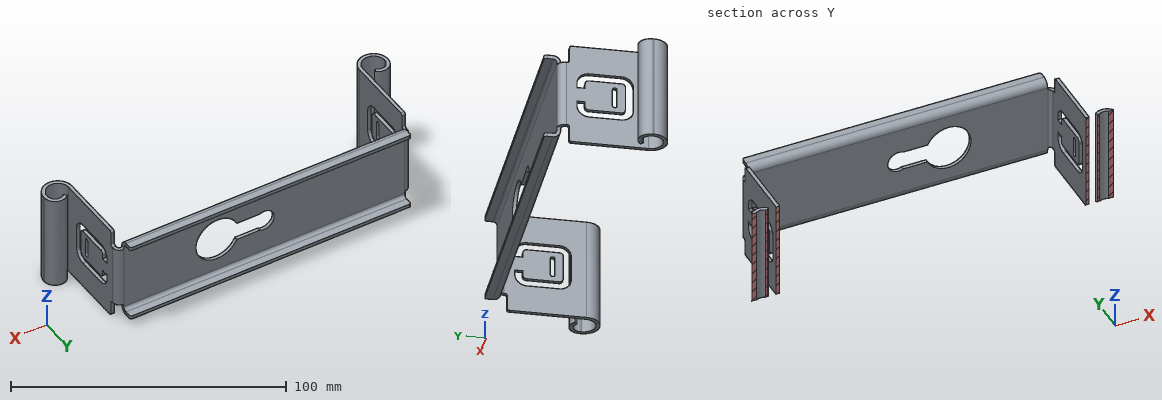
import cadquery as cq
import math

LENGTH = 147.0
DEPTH = 44.0
HEIGHT = 40.0

SHEET = 1.5
BEND_INNER = 1.5
BEND_OUTER = BEND_INNER + SHEET
CORNER_RADIUS = 0.9

FLANGE_DEPTH = 6.0
FLANGE_SPAN = 34.1
NECK_HEIGHT = 26.2
PLATE_FRONT = DEPTH - FLANGE_DEPTH
PLATE_BACK = PLATE_FRONT + SHEET

CURL_RADIUS = 6.0
CURL_FLAT = 0.5
CURL_TIP_RADIUS = 4.5
CURL_TIP_ANGLE = 43.0

LEFT = -LENGTH / 2
WALL_INNER = LEFT + 2 * CURL_RADIUS
WALL_OUTER = WALL_INNER - SHEET
PLATE_END = WALL_OUTER + BEND_OUTER
WALL_BACK = 35.3

WINDOW_FRONT = 11.6
WINDOW_LENGTH = 20.9
WINDOW_HEIGHT = 18.1
WINDOW_RADIUS = 4.4
GAP = 3.0
BRIDGE_HEIGHT = 5.7
SLIT_Y = 18.5
SLIT_LENGTH = 8.2
SLIT_WIDTH = 1.8

KEYHOLE_SMALL_X = 0.0
KEYHOLE_SMALL_RADIUS = 4.3
KEYHOLE_BIG_X = 20.0
KEYHOLE_BIG_RADIUS = 9.1
KEYHOLE_SLOT_HEIGHT = 7.6


def polar(center, radius, degrees):
    """Point on a circle, at an angle measured from +X."""
    angle = math.radians(degrees)
    return (center[0] + radius * math.cos(angle), center[1] + radius * math.sin(angle))


def make_plate():
    """Back plate with a flange bent backwards along its upper and lower edges."""
    plate_length = -2 * PLATE_END
    channel = (
        cq.Workplane("XY")
        .box(plate_length, FLANGE_DEPTH, FLANGE_SPAN)
        .translate((0, PLATE_FRONT + FLANGE_DEPTH / 2, 0))
        .edges("|X and <Y").fillet(BEND_OUTER)
    )
    hollow = (
        cq.Workplane("XY")
        .box(plate_length, FLANGE_DEPTH, FLANGE_SPAN - 2 * SHEET)
        .translate((0, PLATE_BACK + FLANGE_DEPTH / 2, 0))
        .edges("|X and <Y").fillet(BEND_INNER)
    )
    return channel.cut(hollow).edges("|Z and >Y").fillet(CORNER_RADIUS)


def make_keyhole():
    """Small and large round openings joined by a straight slot."""
    front_plane = cq.Workplane("XZ")

    def disc(x, radius):
        return front_plane.center(x, 0).circle(radius).extrude(-DEPTH)

    slot_length = KEYHOLE_BIG_X - KEYHOLE_SMALL_X
    slot = (
        front_plane.center(KEYHOLE_SMALL_X + slot_length / 2, 0)
        .rect(slot_length, KEYHOLE_SLOT_HEIGHT)
        .extrude(-DEPTH)
    )
    small = disc(KEYHOLE_SMALL_X, KEYHOLE_SMALL_RADIUS)
    big = disc(KEYHOLE_BIG_X, KEYHOLE_BIG_RADIUS)
    return slot.union(small).union(big)


def make_bent_strip():
    """Left bend, wall and curl at full height, before the side outline is trimmed."""
    bend = (PLATE_END, PLATE_BACK - BEND_OUTER)
    curl = (LEFT + CURL_RADIUS, CURL_RADIUS)
    tip = (LEFT + CURL_TIP_RADIUS, CURL_RADIUS + CURL_FLAT)
    curl_inner = CURL_RADIUS - SHEET
    tip_inner = CURL_TIP_RADIUS - SHEET
    tip_middle = (180 + CURL_TIP_ANGLE) / 2
    return (
        cq.Workplane("XY")
        .workplane(offset=-HEIGHT / 2)
        .moveTo(PLATE_END, PLATE_BACK)
        .threePointArc(polar(bend, BEND_OUTER, 135), polar(bend, BEND_OUTER, 180))
        .lineTo(WALL_OUTER, CURL_RADIUS)
        .threePointArc(polar(curl, curl_inner, 270), polar(curl, curl_inner, 180))
        .lineTo(LEFT + SHEET, tip[1])
        .threePointArc(polar(tip, tip_inner, tip_middle), polar(tip, tip_inner, CURL_TIP_ANGLE))
        .lineTo(*polar(tip, CURL_TIP_RADIUS, CURL_TIP_ANGLE))
        .threePointArc(polar(tip, CURL_TIP_RADIUS, tip_middle), polar(tip, CURL_TIP_RADIUS, 180))
        .lineTo(LEFT, CURL_RADIUS)
        .threePointArc(polar(curl, CURL_RADIUS, 270), polar(curl, CURL_RADIUS, 0))
        .lineTo(WALL_INNER, bend[1])
        .threePointArc(polar(bend, BEND_INNER, 135), polar(bend, BEND_INNER, 90))
        .close()
        .extrude(HEIGHT)
    )


def side_block(front, back, height):
    """Block spanning the left half in X, from front to back in Y, centred in Z."""
    return (
        cq.Workplane("YZ")
        .workplane(offset=LEFT)
        .center((front + back) / 2, 0)
        .rect(back - front, height)
        .extrude(-LEFT)
    )


def make_side_outline():
    """Wall seen along X: full height, stepping down to the neck with rounded corners."""
    wall = side_block(0, WALL_BACK, HEIGHT).edges("|X and >Y").fillet(CORNER_RADIUS)
    neck = side_block(0, DEPTH, NECK_HEIGHT)
    reach = NECK_HEIGHT / 2 + CORNER_RADIUS / 2
    step_corners = cq.selectors.BoxSelector(
        (LEFT, WALL_BACK - CORNER_RADIUS / 2, -reach),
        (0, WALL_BACK + CORNER_RADIUS / 2, reach),
    )
    return wall.union(neck).edges(step_corners).fillet(CORNER_RADIUS)


def make_neck_fillets():
    """Rounded inside corners where the neck leaves the ends of the plate, above and below."""
    neck_edge = NECK_HEIGHT / 2
    center = (PLATE_END - CORNER_RADIUS, neck_edge + CORNER_RADIUS)
    upper = (
        cq.Workplane("XZ")
        .workplane(offset=-WALL_BACK)
        .moveTo(PLATE_END, 0)
        .lineTo(PLATE_END, center[1])
        .threePointArc(polar(center, CORNER_RADIUS, -45), (center[0], neck_edge))
        .lineTo(center[0], 0)
        .close()
        .extrude(WALL_BACK - DEPTH)
    )
    return upper.union(upper.mirror("XY"))


def make_tongue_cut():
    """C-shaped gap around the tongue, and the slit through it."""
    window_back = WINDOW_FRONT + WINDOW_LENGTH
    tongue_back = window_back - GAP
    window = side_block(WINDOW_FRONT, window_back, WINDOW_HEIGHT)
    tongue = side_block(WINDOW_FRONT + GAP, tongue_back, WINDOW_HEIGHT - 2 * GAP)
    bridge = side_block(SLIT_Y, window_back, BRIDGE_HEIGHT)
    slit = (
        cq.Workplane("YZ")
        .workplane(offset=LEFT)
        .center(SLIT_Y, 0)
        .slot2D(SLIT_LENGTH, SLIT_WIDTH, 90)
        .extrude(-LEFT)
    )
    gap = window.edges("|X").fillet(WINDOW_RADIUS)
    gap = gap.cut(tongue.edges("|X").fillet(WINDOW_RADIUS - GAP)).cut(bridge)
    wall_zone = cq.Workplane("XY").box(2 * SHEET, 2 * DEPTH, HEIGHT).translate((WALL_INNER, 0, 0))
    return gap.union(slit).intersect(wall_zone)


def make_left_arm():
    """Bent strip trimmed to its outline, with the tongue cut free."""
    outline = make_side_outline().union(make_neck_fillets())
    return make_bent_strip().intersect(outline).cut(make_tongue_cut())


left_arm = make_left_arm()
right_arm = left_arm.mirror("YZ")
result = make_plate().cut(make_keyhole()).union(left_arm).union(right_arm)